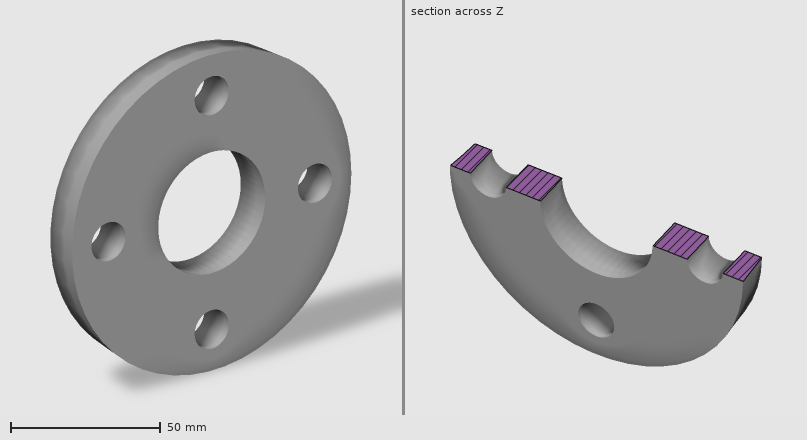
import cadquery as cq

thickness = 14.0
large_diameter = 115.0
small_diameter = 112.7
bore_diameter = 44.0
bolt_hole_diameter = 14.0
bolt_circle_diameter = 85.0
bolt_hole_count = 4

body = (
    cq.Workplane("YZ")
    .circle(small_diameter / 2)
    .workplane(offset=thickness)
    .circle(large_diameter / 2)
    .loft(ruled=True, combine=True)
)

bore = cq.Workplane("YZ").circle(bore_diameter / 2).extrude(thickness)

bolt_holes = (
    cq.Workplane("YZ")
    .polarArray(bolt_circle_diameter / 2, 0, 360, bolt_hole_count)
    .circle(bolt_hole_diameter / 2)
    .extrude(thickness)
)

result = body.cut(bore).cut(bolt_holes)